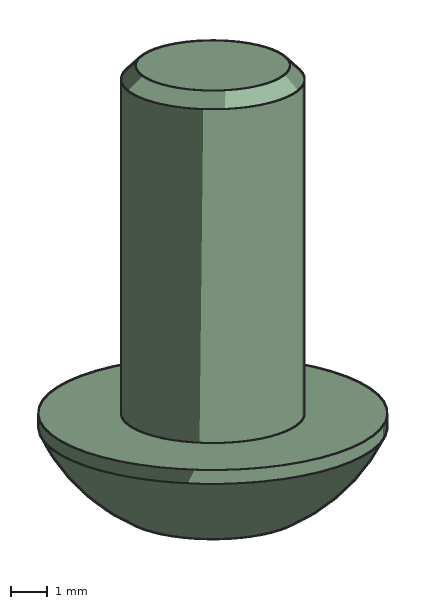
import cadquery as cq
import math

shank_diameter = 5.0
shank_length = 10.0
tip_chamfer = 0.4
head_diameter = 9.5
head_height = 2.75
rim_height = 0.4
crown_radius = 5.25

shank_radius = shank_diameter / 2
head_radius = head_diameter / 2

crown_center_z = math.sqrt(crown_radius**2 - head_radius**2) - rim_height
crown_mid_z = -(rim_height + head_height) / 2


def crown_radius_at(z):
    """Distance from the screw axis to the crown surface at height z."""
    return math.sqrt(crown_radius**2 - (z - crown_center_z) ** 2)


def make_head():
    """Button head below Z = 0: a short cylindrical rim, a domed crown and a flat end."""
    crown_mid = (crown_radius_at(crown_mid_z), crown_mid_z)
    crown_end = (crown_radius_at(-head_height), -head_height)
    profile = (
        cq.Workplane("XZ")
        .lineTo(head_radius, 0)
        .lineTo(head_radius, -rim_height)
        .threePointArc(crown_mid, crown_end)
        .lineTo(0, -head_height)
        .close()
    )
    return profile.revolve(360, (0, 0, 0), (0, 1, 0))


def make_shank():
    """Plain shank rising from the head's bearing face, chamfered at its tip."""
    shank = cq.Workplane("XY").circle(shank_radius).extrude(shank_length)
    return shank.faces(">Z").chamfer(tip_chamfer)


result = make_head().union(make_shank())